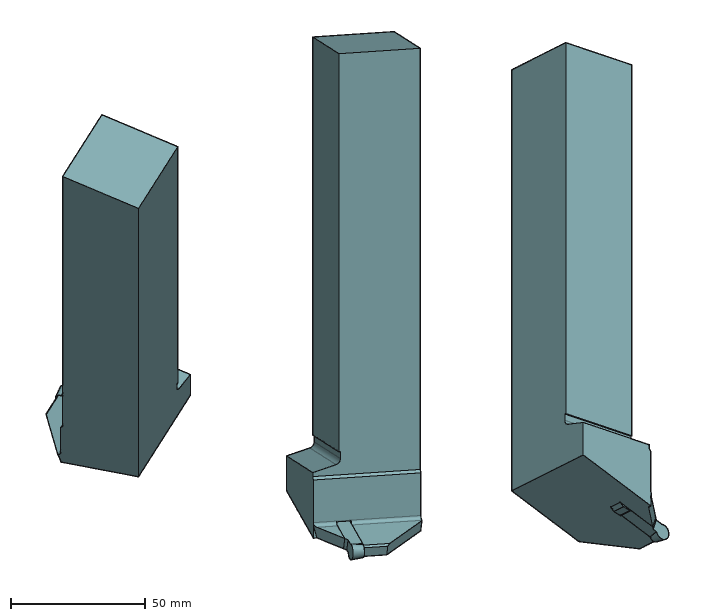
import cadquery as cq
import math

TOTAL_HEIGHT = 190.0
SHANK_SIZE = 32.0

HEAD_WIDTH = 42.2
HEAD_FACE_X = -32.7
STEP_TOP_Z = 29.5
STEP_BOTTOM_Z = 28.3
SHOULDER_OUTER_Z = 31.0
SHOULDER_ANGLE = 15.0
RELIEF_DEPTH = 0.5
RELIEF_TOP_Z = 38.2
RELIEF_FILLET = 2.3

SLOPE_ANGLE = math.radians(19.5)
SLOPE = math.tan(SLOPE_ANGLE)
HEEL_Z = 17.7
BLADE_DEPTH = 4.8
BLADE_NOSE_X = -48.5
NOSE_BEVEL_X = -47.7
NOSE_BEVEL_RUN = 1.1
NOSE_BEVEL_DROP = 1.9
ROOT_FILLET = 1.7
ROOT_EDGE_X = -34.0
NOSE_START_Y = 18.0

INSERT_BACK_Y = 27.4
INSERT_FRONT_Y = 33.0
RAKE_Y = 32.1
INSERT_END_X = -25.3
SEAT_NOTCH_TOP_Z = 11.8
INSERT_LUG_LENGTH = 5.0
INSERT_LUG_DEPTH = 0.8
TIP_X = -49.5
TIP_RADIUS = 3.0
TIP_BACK_RADIUS = 2.5
TIP_CENTER_X = TIP_X + TIP_RADIUS
TIP_CENTER_Z = TIP_RADIUS

RAKE_CORNER_X = -43.5


def underside(x):
    """Height of the sloping underside at x."""
    return HEEL_Z + SLOPE * x


def blade_top(x):
    """Height of the blade's upper face at x."""
    return underside(x) + BLADE_DEPTH


def along_y(points, start, end):
    """Prism with an XZ outline between two Y positions."""
    prism = cq.Workplane("XZ").polyline(points).close().extrude(start - end)
    return prism.translate((0, start, 0))


def side_envelope():
    """Shank and head outline across Y, with the relieved and rounded shoulder corner."""
    relief_y = SHANK_SIZE - RELIEF_DEPTH
    shoulder_rise = (HEAD_WIDTH - relief_y) * math.tan(math.radians(SHOULDER_ANGLE))
    corner_z = SHOULDER_OUTER_Z + shoulder_rise
    envelope = (
        cq.Workplane("YZ")
        .polyline([
            (0, 0),
            (HEAD_WIDTH, 0),
            (HEAD_WIDTH, SHOULDER_OUTER_Z),
            (relief_y, corner_z),
            (relief_y, RELIEF_TOP_Z),
            (SHANK_SIZE, RELIEF_TOP_Z),
            (SHANK_SIZE, TOTAL_HEIGHT),
            (0, TOTAL_HEIGHT),
        ])
        .close()
        .extrude(TIP_X)
    )
    corner = cq.selectors.NearestToPointSelector((TIP_X / 2, relief_y, corner_z))
    return envelope.edges(corner).fillet(RELIEF_FILLET)


def blade_envelope():
    """Blade outline, with edges square to its sloping upper face."""
    outline = [
        (0, 0),
        (ROOT_EDGE_X, 0),
        (BLADE_NOSE_X, NOSE_START_Y),
        (BLADE_NOSE_X, RAKE_Y),
        (RAKE_CORNER_X, RAKE_Y),
        (HEAD_FACE_X, HEAD_WIDTH),
        (0, HEAD_WIDTH),
    ]
    upper_face = cq.Plane(
        origin=(0, 0, blade_top(0)),
        xDir=(math.cos(SLOPE_ANGLE), 0, math.sin(SLOPE_ANGLE)),
        normal=(-math.sin(SLOPE_ANGLE), 0, math.cos(SLOPE_ANGLE)),
    )
    return (
        cq.Workplane(upper_face)
        .polyline([(x / math.cos(SLOPE_ANGLE), y) for x, y in outline])
        .close()
        .extrude(HEAD_WIDTH, both=True)
    )


def head_envelope():
    """Full-width block that holds the shank and head behind the blade."""
    return cq.Workplane("XY").box(
        -HEAD_FACE_X, HEAD_WIDTH, TOTAL_HEIGHT, centered=False
    ).translate((HEAD_FACE_X, 0, 0))


def profile_body():
    """Shank, head and blade profile run across the full width, with the root fillet."""
    bevel_end_x = NOSE_BEVEL_X - NOSE_BEVEL_RUN
    root_z = blade_top(HEAD_FACE_X)
    body = along_y(
        [
            (0, HEEL_Z),
            (0, TOTAL_HEIGHT),
            (-SHANK_SIZE, TOTAL_HEIGHT),
            (-SHANK_SIZE, STEP_TOP_Z),
            (HEAD_FACE_X, STEP_BOTTOM_Z),
            (HEAD_FACE_X, root_z),
            (NOSE_BEVEL_X, blade_top(NOSE_BEVEL_X)),
            (bevel_end_x, blade_top(NOSE_BEVEL_X) - NOSE_BEVEL_DROP),
            (bevel_end_x, underside(bevel_end_x)),
        ],
        0,
        HEAD_WIDTH,
    )
    root = cq.selectors.NearestToPointSelector((HEAD_FACE_X, HEAD_WIDTH / 2, root_z))
    return body.edges(root).fillet(ROOT_FILLET)


def make_insert():
    """Flat insert shank with a locating lug and a round, relieved cutting tip."""
    lug_x = INSERT_END_X - INSERT_LUG_LENGTH
    lug_foot_x = INSERT_END_X - INSERT_LUG_LENGTH / 3
    shank = along_y(
        [
            (TIP_CENTER_X, underside(TIP_CENTER_X)),
            (TIP_CENTER_X, blade_top(TIP_CENTER_X)),
            (INSERT_END_X, blade_top(INSERT_END_X)),
            (INSERT_END_X, underside(INSERT_END_X)),
            (lug_foot_x, underside(lug_foot_x) - INSERT_LUG_DEPTH),
            (lug_x, underside(lug_x) - INSERT_LUG_DEPTH / 2),
            (lug_x, underside(lug_x)),
        ],
        INSERT_BACK_Y,
        INSERT_FRONT_Y,
    ).intersect(blade_envelope())
    tip = cq.Workplane(cq.Solid.makeCone(
        TIP_BACK_RADIUS,
        TIP_RADIUS,
        RAKE_Y - INSERT_BACK_Y,
        cq.Vector(TIP_CENTER_X, INSERT_BACK_Y, TIP_CENTER_Z),
        cq.Vector(0, 1, 0),
    ))
    return shank.union(tip)


def make_insert_slot():
    """Opening for the insert shank, running out through the blade nose and underside."""
    slot_front_x = BLADE_NOSE_X - TIP_RADIUS
    return along_y(
        [
            (slot_front_x, underside(slot_front_x) - BLADE_DEPTH),
            (slot_front_x, blade_top(slot_front_x)),
            (INSERT_END_X, blade_top(INSERT_END_X)),
            (INSERT_END_X, underside(INSERT_END_X) - BLADE_DEPTH),
        ],
        INSERT_BACK_Y,
        INSERT_FRONT_Y,
    )


def make_seat_clearance():
    """Notch that carries the flat insert seat through the root fillet into the head."""
    notch_end_x = (SEAT_NOTCH_TOP_Z - blade_top(0)) / SLOPE
    return along_y(
        [
            (ROOT_EDGE_X, blade_top(ROOT_EDGE_X)),
            (ROOT_EDGE_X, SEAT_NOTCH_TOP_Z),
            (notch_end_x, SEAT_NOTCH_TOP_Z),
        ],
        INSERT_BACK_Y,
        INSERT_FRONT_Y,
    )


def make_holder(insert):
    """Shank, head and blade in one piece, with the slot cut for the insert."""
    profile = profile_body().intersect(side_envelope())
    blade = profile.intersect(blade_envelope())
    head = profile.intersect(head_envelope())
    body = head.union(blade)
    return body.cut(make_insert_slot()).cut(make_seat_clearance()).cut(insert)


insert = make_insert()
holder = make_holder(insert)
result = cq.Compound.makeCompound([holder.solids().val(), insert.solids().val()])